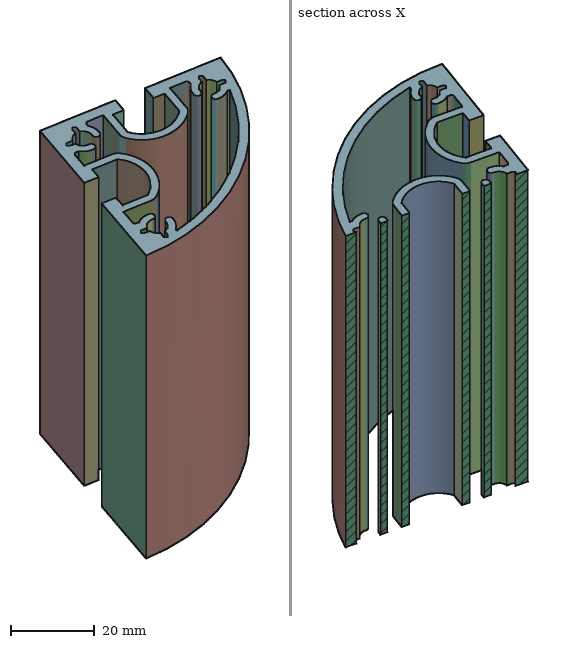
import cadquery as cq
import math

LENGTH = 100.0
RADIUS = 50.0
FLAT_WALL = 3.0
ROUND_WALL = 2.5

SLOT_CENTRE = RADIUS / 2
SLOT_WIDTH = 8.2
LIP_DEPTH = 4.0
CHANNEL_WIDTH = 14.3
CHANNEL_WALL = 2.1
CHANNEL_ARC_RADIUS = 9.0
CHANNEL_ARC_HEIGHT = 5.5
SHOULDER_FILLET = 3.0

PORT_OFFSET = 7.5
PORT_RADIUS = 2.5
FINGER_WIDTH = 2.0
FINGER_RISE = 0.3
FOOT_REACH = 3.3
FOOT_FILLET = 0.6
GROOVE_WIDTH = 1.2
GROOVE_REACH = PORT_OFFSET - FLAT_WALL


def box(x0, y0, x1, y1):
    """Full-length bar between two opposite corners of its section."""
    return cq.Workplane("XY").box(x1 - x0, y1 - y0, LENGTH, centered=False).translate((x0, y0, 0))


def rod(x, y, radius):
    return cq.Workplane("XY").center(x, y).circle(radius).extrude(LENGTH)


def swap_xy(body):
    """Mirror a body about the diagonal plane X = Y."""
    return body.mirror("YZ").rotate((0, 0, 0), (0, 0, 1), -90)


def quarter_round(radius, wall):
    """Quarter disc about the Z axis, with its flat sides moved inward by wall."""
    reach = math.sqrt(radius**2 - wall**2)
    middle = radius * math.sqrt(0.5)
    return (
        cq.Workplane("XY")
        .moveTo(wall, wall)
        .lineTo(reach, wall)
        .threePointArc((middle, middle), (wall, reach))
        .close()
        .extrude(LENGTH)
    )


def arched_bar(base, width, radius):
    """Bar rising from base in Y, closed by an arc about the channel's arc centre."""
    half = width / 2
    shoulder = CHANNEL_ARC_HEIGHT + math.sqrt(radius**2 - half**2)
    return (
        cq.Workplane("XY")
        .moveTo(SLOT_CENTRE - half, base)
        .lineTo(SLOT_CENTRE + half, base)
        .lineTo(SLOT_CENTRE + half, shoulder)
        .threePointArc((SLOT_CENTRE, CHANNEL_ARC_HEIGHT + radius), (SLOT_CENTRE - half, shoulder))
        .close()
        .extrude(LENGTH)
    )


def channel_shell():
    bar = arched_bar(0, CHANNEL_WIDTH + 2 * CHANNEL_WALL, CHANNEL_ARC_RADIUS + CHANNEL_WALL)
    return bar.edges("|Z").edges(">Y").fillet(SHOULDER_FILLET)


def channel_void():
    half = SLOT_WIDTH / 2
    mouth = box(SLOT_CENTRE - half, 0, SLOT_CENTRE + half, LIP_DEPTH)
    return arched_bar(LIP_DEPTH, CHANNEL_WIDTH, CHANNEL_ARC_RADIUS).union(mouth)


def port_body():
    """Two curved fingers on a corner block, centred on the port axis and open toward +X +Y."""
    mid_radius = PORT_RADIUS + FINGER_WIDTH / 2
    outer_radius = PORT_RADIUS + FINGER_WIDTH
    opening = box(0, 0, outer_radius, outer_radius)
    ring = rod(0, 0, outer_radius).cut(opening)
    floor = FLAT_WALL - PORT_OFFSET
    foot = box(-PORT_OFFSET, -PORT_OFFSET, FOOT_REACH, -PORT_RADIUS)
    fillet_end = FOOT_REACH + FOOT_FILLET
    fillet_top = floor + FOOT_FILLET
    fillet = box(FOOT_REACH, floor, fillet_end, fillet_top).cut(rod(fillet_end, fillet_top, FOOT_FILLET))
    foot = foot.union(fillet)
    tip = box(PORT_RADIUS, 0, outer_radius, FINGER_RISE)
    tip = tip.union(rod(mid_radius, FINGER_RISE, FINGER_WIDTH / 2))
    return ring.union(foot).union(swap_xy(foot)).union(tip).union(swap_xy(tip))


def port_void():
    """Screw bore with one round-ended groove toward each adjoining wall."""
    half = GROOVE_WIDTH / 2
    groove = box(-half, half - GROOVE_REACH, half, 0).union(rod(0, half - GROOVE_REACH, half))
    return rod(0, 0, PORT_RADIUS).union(groove).union(swap_xy(groove))


def at_corners(body):
    """Copies of a port feature at the three corners, each turned toward the middle."""
    far = RADIUS - PORT_OFFSET
    return [
        body.translate((PORT_OFFSET, PORT_OFFSET, 0)),
        body.mirror("YZ").translate((far, PORT_OFFSET, 0)),
        body.mirror("XZ").translate((PORT_OFFSET, far, 0)),
    ]


envelope = quarter_round(RADIUS, 0)
profile = envelope.cut(quarter_round(RADIUS - ROUND_WALL, FLAT_WALL))

for body in at_corners(port_body()):
    profile = profile.union(body.intersect(envelope))
profile = profile.union(channel_shell()).union(swap_xy(channel_shell()))

for void in at_corners(port_void()):
    profile = profile.cut(void)
profile = profile.cut(channel_void()).cut(swap_xy(channel_void()))

result = profile